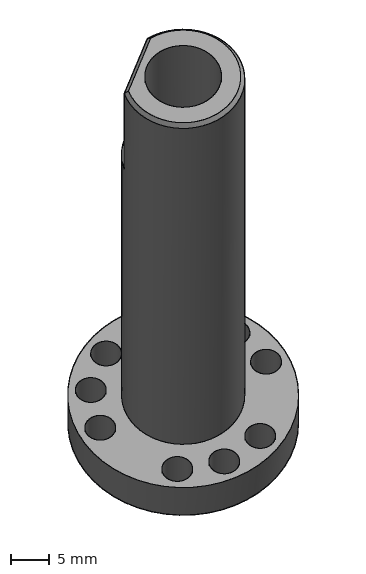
import cadquery as cq

total_height = 75.5
flange_diameter = 30.0
flange_thickness = 6.05
tube_diameter = 16.0
bore_diameter = 10.0
top_chamfer = 0.5

bolt_circle_radius = 12.0
bolt_hole_diameter = 4.0
bolt_angles = (0, 30, 90, 120, 150, 210, 240, 270, 330)

flat_distance = 6.5
flat_height = 17.0
flat_direction = 225

side_hole_diameter = 5.0
side_hole_height = 49.1


def make_flat_cutter():
    """Block that removes the tube wall outside the flat."""
    return (
        cq.Workplane("XY")
        .box(tube_diameter, tube_diameter, flat_height, centered=(False, True, False))
        .translate((flat_distance, 0, total_height - flat_height))
        .rotate((0, 0, 0), (0, 0, 1), flat_direction)
    )


def make_tube():
    """Solid tube blank with the flat, then chamfered all around its top, flat included."""
    blank = cq.Workplane("XY").circle(tube_diameter / 2).extrude(total_height)
    flatted = blank.cut(make_flat_cutter())
    return flatted.faces(">Z").edges().chamfer(top_chamfer)


def make_flange():
    """Round flange at the foot of the tube."""
    return cq.Workplane("XY").circle(flange_diameter / 2).extrude(flange_thickness)


def make_bore():
    """Straight bore along the full axis."""
    return cq.Workplane("XY").circle(bore_diameter / 2).extrude(total_height)


def make_bolt_holes():
    """Through holes on the flange's bolt circle."""
    holes = cq.Workplane("XY")
    for angle in bolt_angles:
        holes = holes.add(
            cq.Workplane("XY")
            .transformed(rotate=(0, 0, angle))
            .center(bolt_circle_radius, 0)
            .circle(bolt_hole_diameter / 2)
            .extrude(flange_thickness)
        )
    return holes.combine()


def make_side_hole():
    """Cylinder from the tube axis out through the +Y wall."""
    return (
        cq.Workplane("XZ")
        .center(0, side_hole_height)
        .circle(side_hole_diameter / 2)
        .extrude(-tube_diameter)
    )


result = (
    make_flange()
    .union(make_tube())
    .cut(make_bore())
    .cut(make_bolt_holes())
    .cut(make_side_hole())
)